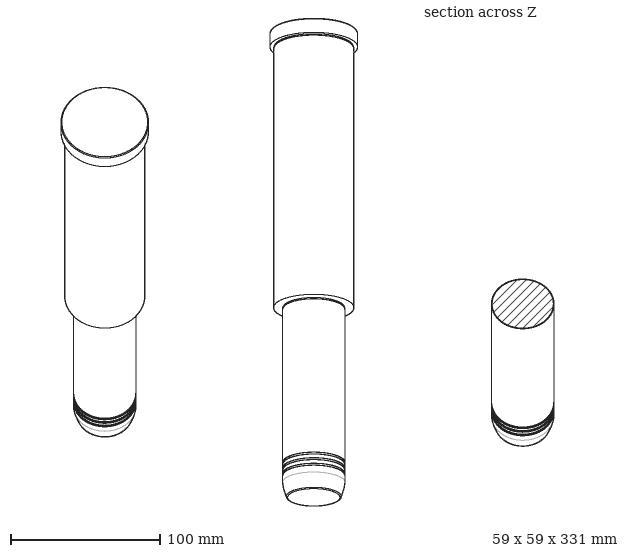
import cadquery as cq

total_length = 331.0
head_diameter = 59.0
head_height = 10.3
head_edge_chamfer = 0.5
body_diameter = 54.0
pin_diameter = 42.0
pin_length = 135.0

nose_height = 10.5
nose_tip_diameter = 36.5
nose_mid_diameter = 40.0
tip_chamfer = 0.5

relief_width = 1.0
relief_depth = 0.3

groove_count = 3
groove_pitch = 4.0
groove_width = 1.3
groove_depth = 0.3
first_groove_z = 16.2


def cylinder(diameter, bottom_z, top_z):
    """Solid cylinder on the Z axis between two heights."""
    return cq.Workplane("XY").workplane(offset=bottom_z).circle(diameter / 2).extrude(top_z - bottom_z)


def ring_cutter(diameter, depth, center_z, width):
    """Ring that cuts a square groove into a shaft of the given diameter."""
    bottom_z = center_z - width / 2
    top_z = center_z + width / 2
    return cylinder(diameter, bottom_z, top_z).cut(cylinder(diameter - 2 * depth, bottom_z, top_z))


def make_nose():
    """Convex nose, narrowing from the pin diameter to the tip."""
    profile = (
        cq.Workplane("XZ")
        .moveTo(0, 0)
        .lineTo(nose_tip_diameter / 2, 0)
        .threePointArc((nose_mid_diameter / 2, nose_height / 2), (pin_diameter / 2, nose_height))
        .lineTo(0, nose_height)
        .close()
    )
    return profile.revolve(360, (0, 0, 0), (0, 1, 0)).faces("<Z").chamfer(tip_chamfer)


head_bottom_z = total_length - head_height
head = cylinder(head_diameter, head_bottom_z, total_length).faces(">Z").chamfer(head_edge_chamfer)
body = cylinder(body_diameter, pin_length, head_bottom_z)
pin = cylinder(pin_diameter, nose_height, pin_length)
result = make_nose().union(pin).union(body).union(head)

for shaft_diameter, shoulder_z in ((body_diameter, head_bottom_z), (pin_diameter, pin_length)):
    relief_z = shoulder_z - relief_width / 2
    result = result.cut(ring_cutter(shaft_diameter, relief_depth, relief_z, relief_width))

for index in range(groove_count):
    groove_z = first_groove_z + index * groove_pitch
    result = result.cut(ring_cutter(pin_diameter, groove_depth, groove_z, groove_width))